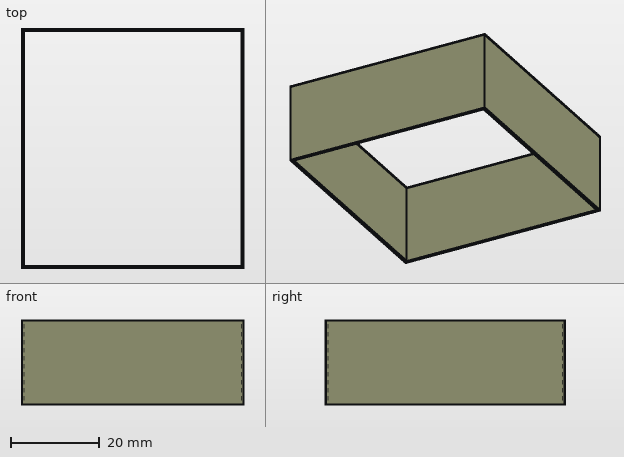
import cadquery as cq

width = 50.0
depth = 54.0
height = 19.0
wall = 0.5

outer_block = cq.Workplane("XY").box(width, depth, height)
opening = cq.Workplane("XY").box(width - 2 * wall, depth - 2 * wall, height)

result = outer_block.cut(opening)